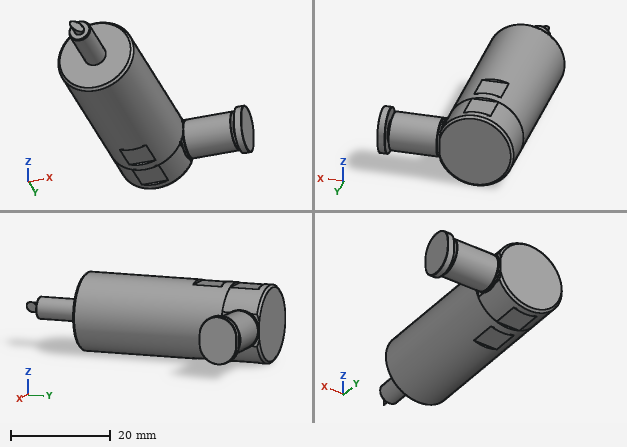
import cadquery as cq

total_length = 53.2
total_width = 28.3
barrel_diameter = 16.0
barrel_radius = barrel_diameter / 2
cap_length = 8.0
housing_length = 32.0
edge_chamfer = 0.5

flat_depth = 0.5
flat_length = 6.0
flat_setback = cap_length - flat_length

spindle_diameter = 4.5
spindle_radius = spindle_diameter / 2
spindle_length = 10.0
spindle_chamfer = 0.2
tip_radius = 1.0
tip_bevel_length = 3.1

fitting_radius = cap_length / 2
seat_x = 7.3
gasket_end = 7.95
fitting_end = 18.0
fitting_chamfer = 0.1
neck_radius = 2.25
collar_start = 18.65
collar_end = total_width - barrel_radius
collar_height = 9.8
collar_width = cap_length
collar_chamfer = 0.1

joint_y = -cap_length
front_y = joint_y - housing_length
spindle_end_y = front_y - spindle_length
tip_end_y = -total_length
fitting_y = joint_y / 2


def y_cylinder(radius, start_y, end_y):
    """Cylinder on the main axis between two Y positions."""
    return cq.Workplane("XZ", origin=(0, start_y, 0)).circle(radius).extrude(start_y - end_y)


def x_cylinder(radius, start_x, end_x):
    """Cylinder on the axis of the air fitting between two X positions."""
    return cq.Workplane("YZ", origin=(start_x, fitting_y, 0)).circle(radius).extrude(end_x - start_x)


def cut_wrench_flats(body, rear_y):
    """Cut a flat into the top and the bottom, set back from the rear end of the body."""
    flat_center_y = rear_y - flat_setback - flat_length / 2
    flat_z = barrel_radius - flat_depth
    for side in (1, -1):
        cutter = cq.Workplane("XY").box(2 * barrel_radius, flat_length, 2 * flat_depth)
        body = body.cut(cutter.translate((0, flat_center_y, side * (flat_z + flat_depth))))
    return body


def make_tip():
    """Round pin cut by one slanting plane to a point on its -X side."""
    pin = y_cylinder(tip_radius, spindle_end_y, tip_end_y)
    bevel = (
        cq.Workplane("XY")
        .moveTo(-tip_radius, tip_end_y)
        .lineTo(tip_radius, tip_end_y + tip_bevel_length)
        .lineTo(tip_radius, tip_end_y)
        .close()
        .extrude(tip_radius, both=True)
    )
    return pin.cut(bevel)


def make_housing():
    """Barrel with wrench flats, spindle and cutting tip."""
    barrel = y_cylinder(barrel_radius, joint_y, front_y).faces("<Y").chamfer(edge_chamfer)
    barrel = cut_wrench_flats(barrel, joint_y)
    spindle = y_cylinder(spindle_radius, front_y, spindle_end_y).faces("<Y").chamfer(spindle_chamfer)
    return barrel.union(spindle).union(make_tip())


def make_fitting():
    """Gasket ring and tube with chamfered rims, then a neck and an oblong release collar."""
    gasket = x_cylinder(fitting_radius, seat_x, gasket_end).faces("<X or >X").chamfer(fitting_chamfer)
    tube = x_cylinder(fitting_radius, gasket_end, fitting_end).faces("<X or >X").chamfer(fitting_chamfer)
    neck = x_cylinder(neck_radius, fitting_end, collar_start)
    collar = (
        cq.Workplane("YZ", origin=(collar_start, fitting_y, 0))
        .slot2D(collar_height, collar_width, angle=90)
        .extrude(collar_end - collar_start)
        .faces("<X or >X")
        .chamfer(collar_chamfer)
    )
    return gasket.union(tube).union(neck).union(collar)


def cut_fitting_seat(body):
    """Trim the side of the cap flat at the foot of the fitting."""
    cutter = cq.Workplane("XY").box(
        barrel_radius, cap_length, 2 * barrel_radius, centered=(False, True, True)
    )
    return body.cut(cutter.translate((seat_x, fitting_y, 0)))


def make_cap():
    """Rear cap with wrench flats and the air fitting."""
    cap = y_cylinder(barrel_radius, 0, joint_y).faces(">Y").chamfer(edge_chamfer)
    cap = cut_fitting_seat(cut_wrench_flats(cap, 0))
    return cap.union(make_fitting())


housing = make_housing()
cap = make_cap()
result = cq.Compound.makeCompound([housing.solids().val(), cap.solids().val()])